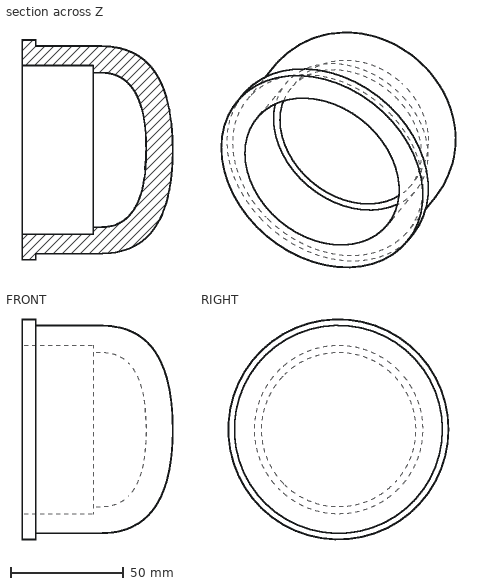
import cadquery as cq

flange_diameter = 98.0
flange_thickness = 6.1
body_diameter = 92.5
body_end = 35.0
overall_length = 67.0
bore_diameter = 75.0
bore_depth = 31.6
inner_diameter = 68.7
dome_fullness = 0.67

body_radius = body_diameter / 2
inner_radius = inner_diameter / 2
wall_thickness = body_radius - inner_radius
dome_height = overall_length - body_end
inner_dome_height = dome_height - wall_thickness


def cylinder(diameter, start, end):
    """Solid cylinder on the X axis between two X positions."""
    return cq.Workplane("YZ", origin=(start, 0, 0)).circle(diameter / 2).extrude(end - start)


def dome(radius, height):
    """Full-shouldered dome of revolution, tangent to the wall and flat at its tip."""
    profile = [
        (0, radius),
        (height * dome_fullness, radius),
        (height, radius * dome_fullness),
        (height, 0),
    ]
    return (
        cq.Workplane("XY", origin=(body_end, 0, 0))
        .moveTo(0, radius)
        .bezier(profile)
        .lineTo(0, 0)
        .close()
        .revolve(360, (0, 0, 0), (1, 0, 0))
    )


outside = (
    cylinder(flange_diameter, 0, flange_thickness)
    .union(cylinder(body_diameter, flange_thickness, body_end))
    .union(dome(body_radius, dome_height))
)

cavity = (
    cylinder(bore_diameter, 0, bore_depth)
    .union(cylinder(inner_diameter, bore_depth, body_end))
    .union(dome(inner_radius, inner_dome_height))
)

result = outside.cut(cavity)